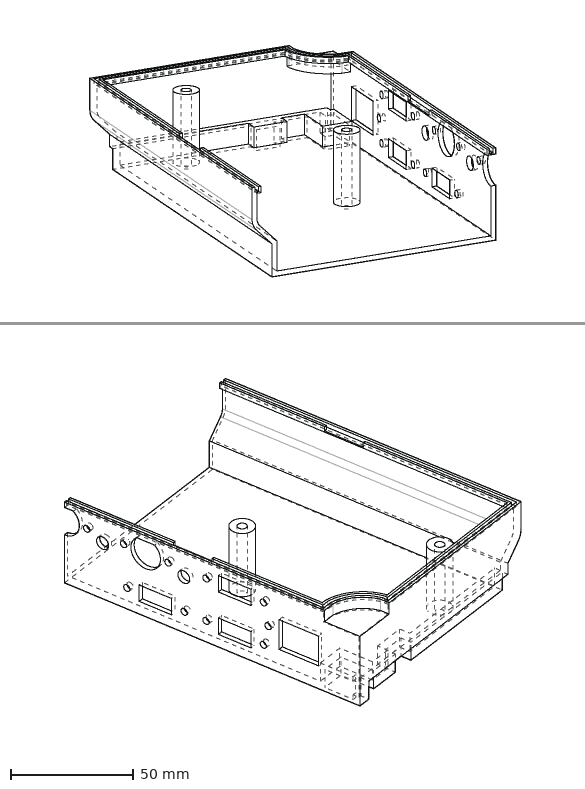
import cadquery as cq
import math

LENGTH = 150.0
DEPTH = 111.0
HEIGHT = 40.0
WALL = 2.2

FOOT_SETBACK = 9.0
FOOT_HEIGHT = 14.4
SLOPE_ANGLE = 45.0
BROW_RADIUS = 6.7

OUTER_STRIP = 1.3
GROOVE_WIDTH = 1.5
RIM_WIDTH = 4.0
RIM_HEIGHT = 2.7
GROOVE_DEPTH = 2.1
RIM_BOTTOM = HEIGHT - RIM_HEIGHT
GROOVE_FLOOR = HEIGHT - GROOVE_DEPTH
GAP_START = 77.2
GAP_END = 96.7

CORNER_X = 18.0
CORNER_Y = 20.1
CORNER_DEPTH = 5.5
CORNER_FLOOR = HEIGHT - CORNER_DEPTH
CORNER_RADIUS = 18.0
CORNER_CENTRE = (0.3, 108.4)

RECESS_HEIGHT = 9.0
SKIRT_SETBACK = 2.8
REAR_RECESS = (6.1, 13.3)
REAR_RECESS_REACH = 19.5
FRONT_RECESS = (28.3, 39.0)
FRONT_RECESS_REACH = 8.0
CORNER_POST = SKIRT_SETBACK + WALL

BOSS_CENTRES = [(86.8, 74.2), (14.0, 37.0)]
BOSS_DIAMETER = 11.0
BOSS_BORE = 4.2
BOSS_TOP = 33.6

UPPER_ROW = 31.3
LOWER_ROW = 10.3
SCREW_DIAMETER = 3.1
PORT_SIZE = (16.5, 8.1)
PORT_SCREW_OFFSET = 14.5
PORT_CENTRES = [(63.6, UPPER_ROW), (63.6, LOWER_ROW), (103.8, LOWER_ROW)]
SOCKET_DIAMETER = 15.0
SOCKET_SCREW_OFFSET = 11.2
SOCKET_CENTRES = [108.7, LENGTH]
ROUND_PORT_DIAMETER = 6.0
ROUND_PORT_CENTRES = [(89.4, 27.6), (130.6, 27.6)]
INLET_SIZE = (20.0, 14.7)
INLET_CENTRE = (31.0, 18.7)
INLET_SCREW = (46.6, 20.5)


def block(x_range, y_range, z_range):
    """Axis-aligned box given by its limits."""
    size = [high - low for low, high in (x_range, y_range, z_range)]
    corner = (x_range[0], y_range[0], z_range[0])
    return cq.Workplane("XY").box(*size, centered=False).translate(corner)


def side_profile_solid(inset, x_start):
    """Side profile, moved inward by inset, extruded to the open end."""
    half_slope = math.radians(SLOPE_ANGLE / 2)
    slope = math.radians(SLOPE_ANGLE)
    foot_y = FOOT_SETBACK + inset
    foot_z = FOOT_HEIGHT + inset * math.tan(half_slope)
    radius = BROW_RADIUS - inset
    slope_end_z = foot_z + FOOT_SETBACK * math.tan(slope)
    tangent = radius * math.tan(half_slope)
    arc_low = (inset + tangent * math.cos(slope), slope_end_z - tangent * math.sin(slope))
    arc_mid = (
        inset + radius * (1 - math.cos(half_slope)),
        slope_end_z + tangent - radius * math.sin(half_slope),
    )
    arc_high = (inset, slope_end_z + tangent)
    return (
        cq.Workplane("YZ", origin=(x_start, 0, 0))
        .moveTo(DEPTH - inset, inset)
        .lineTo(foot_y, inset)
        .lineTo(foot_y, foot_z)
        .lineTo(*arc_low)
        .threePointArc(arc_mid, arc_high)
        .lineTo(inset, HEIGHT)
        .lineTo(DEPTH - inset, HEIGHT)
        .close()
        .extrude(LENGTH - x_start)
    )


def corner_block(margin, z_start):
    """Rear left corner block with an arc across its inner edge, grown by margin."""
    round_limit = (
        cq.Workplane("XY", origin=(*CORNER_CENTRE, z_start))
        .circle(CORNER_RADIUS + margin)
        .extrude(HEIGHT - z_start)
    )
    corner_box = block((0, CORNER_X + margin), (DEPTH - CORNER_Y - margin, DEPTH), (z_start, HEIGHT))
    return corner_box.intersect(round_limit)


def rim_opening(inset, z_start):
    """Region inside the rim outline moved inward by inset, up to the top."""
    area = block((inset, LENGTH), (inset, DEPTH - inset), (z_start, HEIGHT))
    return area.cut(corner_block(inset, z_start))


def recesses(margin):
    """Low recesses on the left side, grown by margin to give their housings."""
    def grown(reach, rear_range):
        near, far = rear_range
        return block(
            (0, reach + margin),
            (DEPTH - far - margin, DEPTH - near + margin),
            (0, RECESS_HEIGHT + margin),
        )

    skirt = block((0, SKIRT_SETBACK + margin), (0, DEPTH - REAR_RECESS[0]), (0, RECESS_HEIGHT + margin))
    behind_post = block(
        (CORNER_POST, REAR_RECESS_REACH + margin),
        (DEPTH - REAR_RECESS[1] - margin, DEPTH - WALL),
        (0, RECESS_HEIGHT + margin),
    )
    return (
        skirt.union(behind_post)
        .union(grown(REAR_RECESS_REACH, REAR_RECESS))
        .union(grown(FRONT_RECESS_REACH, FRONT_RECESS))
    )


def rim_zone():
    """Full-plan slab at the level of the rim."""
    return block((0, LENGTH), (0, DEPTH), (RIM_BOTTOM, HEIGHT))


def rear_plane():
    """Sketch plane on the rear face; extrusions from it run into the wall."""
    return cq.Workplane("XZ", origin=(0, DEPTH, 0))


def rear_openings():
    """Ports, sockets and screw holes through the rear wall below the rim."""
    sockets = [(x, UPPER_ROW) for x in SOCKET_CENTRES]
    screws = [INLET_SCREW]
    for x, z in PORT_CENTRES:
        screws += [(x - PORT_SCREW_OFFSET, z), (x + PORT_SCREW_OFFSET, z)]
    for x, z in sockets:
        screws += [(x - SOCKET_SCREW_OFFSET, z), (x + SOCKET_SCREW_OFFSET, z)]
    screws = [(x, z) for x, z in screws if x < LENGTH]
    openings = (
        rear_plane().pushPoints(screws).circle(SCREW_DIAMETER / 2).extrude(WALL)
        .union(rear_plane().pushPoints(PORT_CENTRES).rect(*PORT_SIZE).extrude(WALL))
        .union(rear_plane().pushPoints(ROUND_PORT_CENTRES).circle(ROUND_PORT_DIAMETER / 2).extrude(WALL))
        .union(rear_plane().pushPoints(sockets).circle(SOCKET_DIAMETER / 2).extrude(WALL))
        .union(rear_plane().center(*INLET_CENTRE).rect(*INLET_SIZE).extrude(WALL))
    )
    return openings.cut(rim_zone())


cavity = (
    side_profile_solid(WALL, WALL)
    .cut(rim_zone())
    .cut(corner_block(WALL, CORNER_FLOOR - WALL))
    .cut(recesses(WALL))
)
body = side_profile_solid(0, 0).cut(cavity)

body = body.cut(rim_opening(RIM_WIDTH, RIM_BOTTOM))
body = body.cut(corner_block(0, CORNER_FLOOR))
groove = rim_opening(OUTER_STRIP, GROOVE_FLOOR).cut(
    rim_opening(OUTER_STRIP + GROOVE_WIDTH, GROOVE_FLOOR)
)
body = body.cut(groove)

body = body.cut(block((GAP_START, GAP_END), (OUTER_STRIP, DEPTH - OUTER_STRIP), (GROOVE_FLOOR, HEIGHT)))

body = body.cut(recesses(0)).cut(rear_openings())

floor_plane = cq.Workplane("XY").pushPoints(BOSS_CENTRES)
body = body.union(floor_plane.circle(BOSS_DIAMETER / 2).extrude(BOSS_TOP))
result = body.cut(floor_plane.circle(BOSS_BORE / 2).extrude(BOSS_TOP))